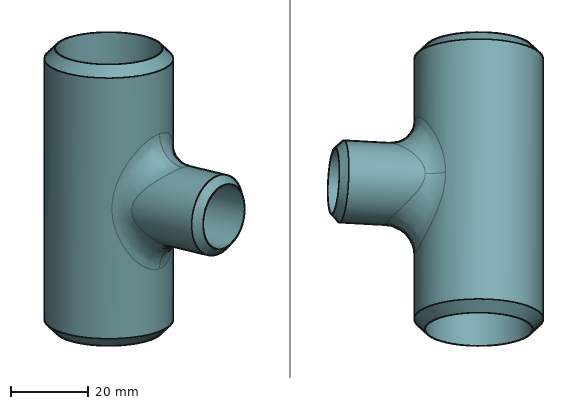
import cadquery as cq

run_length = 76.2
run_diameter = 33.4
run_wall = 2.8
run_bevel_height = 2.8
run_lip = 0.1

branch_reach = 38.1
branch_diameter = 21.3
branch_wall = 2.1
branch_bevel_length = 2.1
branch_lip = 0.1

junction_fillet = 7.6

run_radius = run_diameter / 2
run_bore = run_diameter - 2 * run_wall
branch_bore = branch_diameter - 2 * branch_wall


def make_run():
    """Solid main cylinder before bevelling."""
    return cq.Workplane("XY").circle(run_radius).extrude(run_length / 2, both=True)


def make_branch():
    """Solid branch cylinder from the run axis to the branch end."""
    return cq.Workplane("YZ").circle(branch_diameter / 2).extrude(branch_reach)


def blend_junction(body):
    """Round the saddle-shaped edge where the two pipes meet."""
    half_size = branch_diameter / 2 + 0.8
    saddle = cq.selectors.BoxSelector(
        (0.8, -half_size, -half_size),
        (run_radius + 0.8, half_size, half_size),
        boundingbox=True,
    )
    return body.edges(saddle).fillet(junction_fillet)


def bevel_ends(body):
    """Bevel the outside of all three ends, leaving thin flat rims."""
    body = body.faces("<Z or >Z").edges().chamfer(run_bevel_height, run_wall - run_lip)
    return body.faces(">X").edges().chamfer(branch_bevel_length, branch_wall - branch_lip)


def bore_pipes(body):
    """Cut the through bore and the branch bore that opens into it."""
    run_hole = cq.Workplane("XY").circle(run_bore / 2).extrude(run_length / 2, both=True)
    branch_hole = cq.Workplane("YZ").circle(branch_bore / 2).extrude(branch_reach)
    return body.cut(run_hole).cut(branch_hole)


tee = make_run().union(make_branch())
tee = blend_junction(tee)
tee = bevel_ends(tee)
result = bore_pipes(tee)